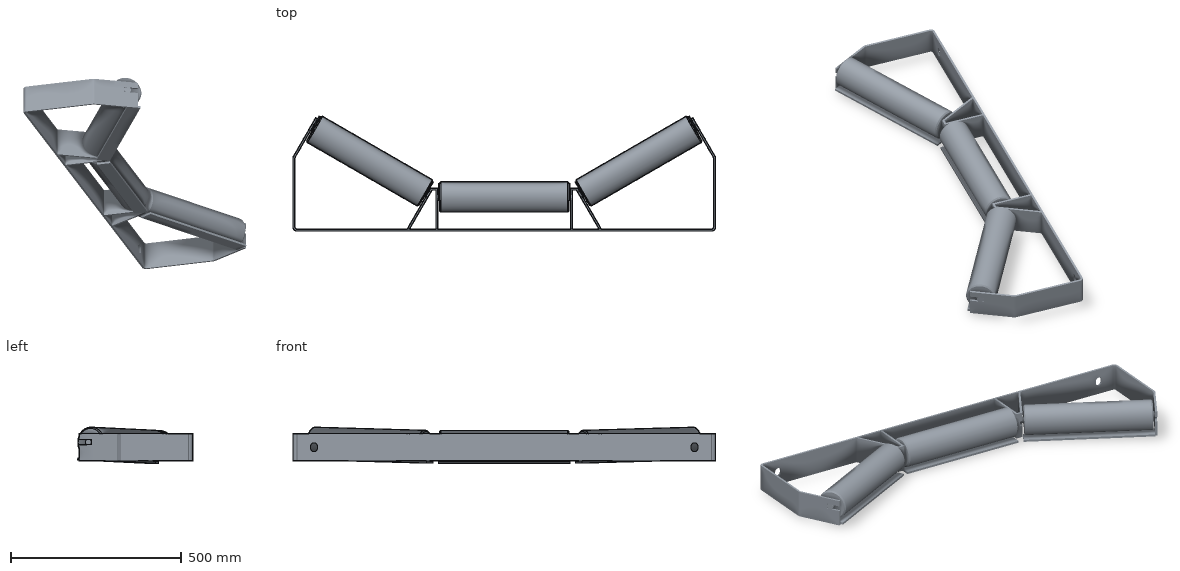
import cadquery as cq
import math

frame_length = 1240.0
strip_height = 79.0
strip_thickness = 6.0
bend_radius = 12.0
trough_angle = 30.0
arm_bend_y = 217.0
arm_length = 134.0

mount_hole_x = 558.0
mount_hole_width = 20.0
mount_hole_height = 26.0

roller_diameter = 89.0
roller_length = 380.0
roller_chamfer = 4.0
shaft_diameter = 20.0
shaft_flat_width = 15.0
shaft_flat_length = 9.0
support_gap = 389.0
middle_axis_y = 100.0
middle_axis_z = 45.0
side_axis_offset = 103.0
side_axis_z = 50.0
side_tilt = 1.4

bracket_top_y = 126.0

guard_length = 387.0
guard_width = 40.0
guard_thickness = 6.0
guard_drop = 52.0

half_length = frame_length / 2
half_gap = support_gap / 2
lean_sin = math.sin(math.radians(trough_angle))
lean_cos = math.cos(math.radians(trough_angle))
lean_tan = lean_sin / lean_cos
inner_bend_radius = bend_radius - strip_thickness
arm_bend_inset = strip_thickness * math.tan(math.radians(trough_angle / 2))
shaft_length = support_gap + 2 * strip_thickness
side_reach = strip_thickness + half_gap
side_x = half_length - side_axis_offset * lean_sin - side_reach * lean_cos
side_y = arm_bend_y + side_axis_offset * lean_cos - side_reach * lean_sin

stations = [
    ((-side_x, side_y, side_axis_z), -trough_angle, side_tilt),
    ((0, middle_axis_y, middle_axis_z), 0, 0),
    ((side_x, side_y, side_axis_z), trough_angle, -side_tilt),
]


def place(shape, station):
    """Move a shape built about the origin, with its axis along X, to a roller station."""
    position, turn, tilt = station
    tilted = shape.rotate((0, 0, 0), (0, 1, 0), tilt)
    return tilted.rotate((0, 0, 0), (0, 0, 1), turn).translate(position)


def make_shaft_slot(station):
    """Space for the flattened shaft ends, open toward the tips of the strips."""
    slot_bottom = -shaft_diameter / 2
    slot_length = shaft_length + strip_thickness / 2
    slot_depth = roller_diameter
    slot = cq.Workplane("XY").box(slot_length, slot_depth, shaft_flat_width, centered=(True, False, True))
    return place(slot.translate((0, slot_bottom, 0)), station)


def centred_cylinder(diameter, length):
    """Cylinder along X, centred on the origin."""
    return cq.Workplane("YZ", origin=(-length / 2, 0, 0)).circle(diameter / 2).extrude(length)


def make_roller():
    """Roller with a shaft whose ends carry two flats."""
    roller = centred_cylinder(roller_diameter, roller_length)
    roller = roller.faces("<X or >X").chamfer(roller_chamfer)
    shaft = centred_cylinder(shaft_diameter, shaft_length)
    round_length = shaft_length - 2 * shaft_flat_length
    flat_end = cq.Workplane("XY").box(shaft_length, shaft_diameter, shaft_flat_width)
    round_part = cq.Workplane("XY").box(round_length, shaft_diameter, shaft_diameter)
    return roller.union(shaft.intersect(flat_end.union(round_part)))


def make_guard():
    """Flat plate below one half of the roller, lengthwise along its axis."""
    plate = cq.Workplane("XY").box(guard_length, guard_width, guard_thickness, centered=(True, False, False))
    return plate.translate((0, 0, -guard_drop))


def symmetric_prism(right_points):
    """Prism of strip height whose outline is the given right half and its mirror image."""
    left_points = [(-x, y) for x, y in reversed(right_points)]
    return cq.Workplane("XY").polyline(right_points + left_points).close().extrude(strip_height)


def round_bends(prism, top_y, radius):
    """Round the upright edges that lie below top_y."""
    reach = cq.selectors.BoxSelector(
        (-frame_length, -frame_length, 0), (frame_length, top_y, strip_height)
    )
    return prism.edges("|Z").edges(reach).fillet(radius)


def make_frame():
    """Bent strip with mounting holes in its base."""
    bend_limit_y = arm_bend_y + bend_radius
    tip_x = half_length - arm_length * lean_sin
    tip_y = arm_bend_y + arm_length * lean_cos
    inner_tip = (tip_x - strip_thickness * lean_cos, tip_y - strip_thickness * lean_sin)
    outer = symmetric_prism([(half_length, 0), (half_length, arm_bend_y), (tip_x, tip_y), inner_tip])

    inner_half = half_length - strip_thickness
    inner_bend_y = arm_bend_y - arm_bend_inset
    opening_top_y = tip_y + strip_thickness
    opening_top_x = inner_half - (opening_top_y - inner_bend_y) * lean_tan
    inner = symmetric_prism(
        [(inner_half, strip_thickness), (inner_half, inner_bend_y), (opening_top_x, opening_top_y)]
    )
    frame = round_bends(outer, bend_limit_y, bend_radius).cut(
        round_bends(inner, bend_limit_y, inner_bend_radius)
    )
    holes = (
        cq.Workplane("XZ")
        .pushPoints([(-mount_hole_x, strip_height / 2), (mount_hole_x, strip_height / 2)])
        .slot2D(mount_hole_height, mount_hole_width, 90)
        .extrude(-strip_thickness)
    )
    return frame.cut(holes)


def make_right_bracket():
    """Bracket with an upright leg, a flat top and a leg square to the right side roller."""
    leaning_face_x = side_x - half_gap / lean_cos + side_y * lean_tan
    leaning_back_x = leaning_face_x - strip_thickness / lean_cos

    def outline(upright_x, leaning_x, top_y):
        return [
            (upright_x, strip_thickness),
            (leaning_x - strip_thickness * lean_tan, strip_thickness),
            (leaning_x - top_y * lean_tan, top_y),
            (upright_x, top_y),
        ]

    outer = outline(half_gap, leaning_face_x, bracket_top_y)
    inner = outline(half_gap + strip_thickness, leaning_back_x, bracket_top_y - strip_thickness)
    bracket = cq.Workplane("XY").polyline(outer).close().extrude(strip_height)
    return bracket.cut(cq.Workplane("XY").polyline(inner).close().extrude(strip_height))


frame = make_frame()
right_bracket = make_right_bracket()
brackets = [right_bracket.mirror("YZ"), right_bracket]
rollers = []
guards = []
for station in stations:
    slot = make_shaft_slot(station)
    frame = frame.cut(slot)
    brackets = [bracket.cut(slot) for bracket in brackets]
    rollers.append(place(make_roller(), station))
    guards.append(place(make_guard(), station))

bodies = [frame, *brackets, *rollers, *guards]
result = cq.Compound.makeCompound([body.solids().val() for body in bodies])